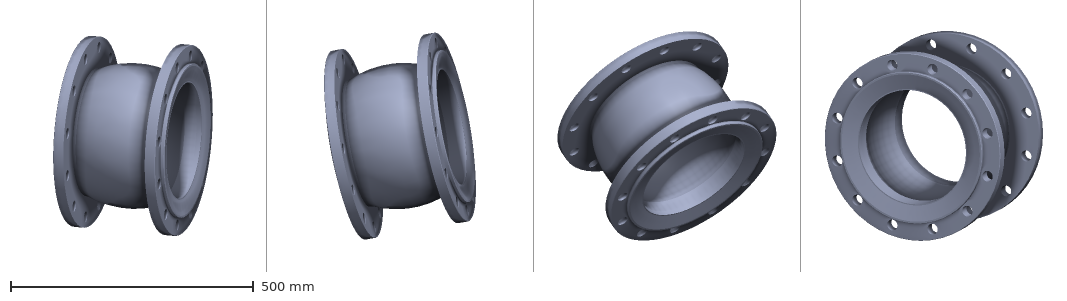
import cadquery as cq

overall_length = 236.0
half_length = overall_length / 2

flange_radius = 395 / 2
flange_thickness = 22.0
edge_chamfer = 1.0

raised_face_radius = 320 / 2
raised_face_height = 8.0
funnel_outer_radius = 155.2
funnel_inner_radius = 123.0

bolt_count = 12
bolt_hole_radius = 23.0 / 2
bolt_circle_radius = 175.0
first_bolt_angle = 360 / bolt_count / 2

bore_radius = 241 / 2
sleeve_radius = 265.0 / 2
wall = sleeve_radius - bore_radius
barrel_top_radius = 150.0
barrel_half_length = 81.8
hollow_half_length = 73.5

disc_outer_x = half_length - raised_face_height
disc_inner_x = disc_outer_x - flange_thickness
sleeve_end_x = (disc_outer_x + disc_inner_x) / 2


def revolve_about_x(profile):
    """Revolve an XY profile (X along the axis, Y as radius) a full turn about X."""
    return profile.close().revolve(360, (0, 0, 0), (1, 0, 0))


def bolt_holes():
    """Cylinders for the bolt circle, running through the disc along X."""
    return (
        cq.Workplane("YZ", origin=(disc_inner_x, 0, 0))
        .polarArray(bolt_circle_radius, first_bolt_angle, 360, bolt_count)
        .circle(bolt_hole_radius)
        .extrude(flange_thickness)
    )


def make_flange(side):
    """Flange at the +X (side = 1) or -X (side = -1) end, with a socket for the sleeve."""
    profile = (
        cq.Workplane("XY")
        .moveTo(disc_inner_x, sleeve_radius)
        .lineTo(disc_inner_x, flange_radius)
        .lineTo(disc_outer_x - edge_chamfer, flange_radius)
        .lineTo(disc_outer_x, flange_radius - edge_chamfer)
        .lineTo(disc_outer_x, raised_face_radius)
        .lineTo(half_length - edge_chamfer, raised_face_radius)
        .lineTo(half_length, raised_face_radius - edge_chamfer)
        .lineTo(half_length, funnel_outer_radius)
        .lineTo(disc_outer_x, funnel_inner_radius)
        .lineTo(disc_outer_x, bore_radius)
        .lineTo(sleeve_end_x, bore_radius)
        .lineTo(sleeve_end_x, sleeve_radius)
    )
    flange = revolve_about_x(profile).cut(bolt_holes())
    return flange if side > 0 else flange.mirror("YZ")


def make_sleeve():
    """Hollow barrel whose straight ends sit in the flange sockets."""
    profile = (
        cq.Workplane("XY")
        .moveTo(-sleeve_end_x, sleeve_radius)
        .lineTo(-barrel_half_length, sleeve_radius)
        .threePointArc((0, barrel_top_radius), (barrel_half_length, sleeve_radius))
        .lineTo(sleeve_end_x, sleeve_radius)
        .lineTo(sleeve_end_x, bore_radius)
        .lineTo(hollow_half_length, bore_radius)
        .threePointArc((0, barrel_top_radius - wall), (-hollow_half_length, bore_radius))
        .lineTo(-sleeve_end_x, bore_radius)
    )
    return revolve_about_x(profile)


sleeve = make_sleeve()
flanges = [make_flange(side) for side in (-1, 1)]

result = cq.Compound.makeCompound([sleeve.val(), *[flange.val() for flange in flanges]])